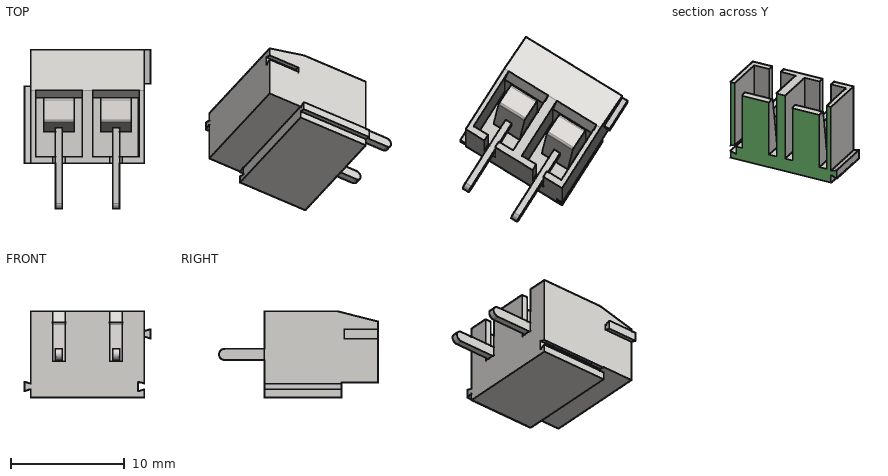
import cadquery as cq
import math

overall_width = 11.1
overall_length = 14.0
height = 7.6

body_width = 10.0
body_depth = 10.0
slope_start_y = 6.41
slope_back_z = 6.69
step_y = 6.79
step_z = 1.3

rail_depth = (overall_width - body_width) / 2
rail_wide = 0.85
rail_narrow = 0.5
lower_rail_z = 0.98
upper_rail_z = 5.6
upper_rail_length = 3.0

pole_pitch = 5.0
pocket_width = 4.1
pocket_floor_z = 1.3
pocket_front_y = 0.6
pocket_back_y = 5.75
pocket_bevel_z = 6.61
slot_width = 1.12
slot_floor_z = 3.2

clamp_width = 2.7
clamp_tilt = math.radians(9)
clamp_front_y = 2.79
clamp_ridge_z = 6.62
clamp_back_y = 5.84
clamp_front_radius = 0.2
clamp_back_radius = 0.3

pin_width = 0.62
pin_height = 1.0
pin_pitch = 5.03
pin_z = 3.8
pin_inner_y = 3.15
pin_tip_y = body_depth - overall_length


def extrude_along_x(points, width, center_x):
    """Extrude a closed (Y, Z) outline symmetrically about center_x."""
    return (
        cq.Workplane("YZ", origin=(center_x, 0, 0))
        .polyline(points)
        .close()
        .extrude(width / 2, both=True)
    )


def dovetail(root_x, z, y_start, y_end):
    """Dovetail bar widening towards -X from its narrow root at root_x."""
    outline = [
        (root_x, z - rail_narrow / 2),
        (root_x, z + rail_narrow / 2),
        (root_x - rail_depth, z + rail_wide / 2),
        (root_x - rail_depth, z - rail_wide / 2),
    ]
    return (
        cq.Workplane("XZ", origin=(0, y_start, 0))
        .polyline(outline)
        .close()
        .extrude(y_start - y_end)
    )


def make_housing():
    outline = [
        (0, 0),
        (0, height),
        (slope_start_y, height),
        (body_depth, slope_back_z),
        (body_depth, step_z),
        (step_y, step_z),
        (step_y, 0),
    ]
    return extrude_along_x(outline, body_width, 0)


def make_pocket(center_x):
    """Open-topped cavity with a bevelled back edge and a slot through the pin face."""
    outline = [
        (pocket_front_y, pocket_floor_z),
        (pocket_front_y, height),
        (slope_start_y, height),
        (pocket_back_y, pocket_bevel_z),
        (pocket_back_y, pocket_floor_z),
    ]
    slot_outline = [
        (0, slot_floor_z),
        (0, height),
        (pocket_front_y, height),
        (pocket_front_y, slot_floor_z),
    ]
    cavity = extrude_along_x(outline, pocket_width, center_x)
    return cavity.union(extrude_along_x(slot_outline, slot_width, center_x))


def make_clamp(center_x):
    """Clamp with a leaning front, a top square to that front, and rounded top edges."""
    ridge_y = clamp_front_y + (clamp_ridge_z - pocket_floor_z) * math.tan(clamp_tilt)
    top_back_z = clamp_ridge_z - (clamp_back_y - ridge_y) * math.tan(clamp_tilt)
    outline = [
        (clamp_front_y, pocket_floor_z),
        (ridge_y, clamp_ridge_z),
        (clamp_back_y, top_back_z),
        (clamp_back_y, pocket_floor_z),
    ]
    clamp = extrude_along_x(outline, clamp_width, center_x)
    clamp = clamp.faces(">Y").edges(">Z").fillet(clamp_back_radius)
    return clamp.edges("|X").edges(">Z").fillet(clamp_front_radius)


def make_pin(center_x):
    """Flat pin with a full-round tip."""
    radius = pin_height / 2
    return (
        cq.Workplane("YZ", origin=(center_x, 0, 0))
        .moveTo(pin_inner_y, pin_z + radius)
        .lineTo(pin_tip_y + radius, pin_z + radius)
        .threePointArc((pin_tip_y, pin_z), (pin_tip_y + radius, pin_z - radius))
        .lineTo(pin_inner_y, pin_z - radius)
        .close()
        .extrude(pin_width / 2, both=True)
    )


result = make_housing()

for side in (-1, 1):
    result = result.cut(make_pocket(side * pole_pitch / 2))

left_x = -body_width / 2
right_x = body_width / 2
result = result.union(dovetail(left_x, lower_rail_z, 0, step_y))
result = result.cut(dovetail(right_x, lower_rail_z, 0, step_y))

upper_start_y = body_depth - upper_rail_length
upper_rail = dovetail(left_x, upper_rail_z, upper_start_y, body_depth).mirror("YZ")
upper_groove = upper_rail.translate((-body_width, 0, 0))
result = result.union(upper_rail).cut(upper_groove)

for side in (-1, 1):
    result = result.union(make_clamp(side * pole_pitch / 2))
    result = result.union(make_pin(side * pin_pitch / 2))